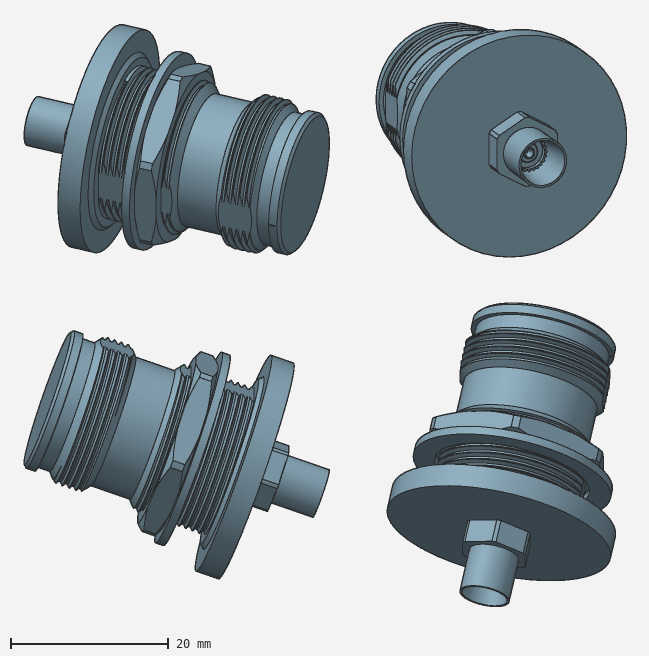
import cadquery as cq
import math


total_length = 36.8
hex_start = 5.78
flange_start = 8.75
flange_end = 11.78
gasket_end = 12.33
washer_start = 16.75
nut_start = 17.8
nut_end = 20.75
mount_thread_end = 22.75
mating_thread_start = 27.95
mating_thread_end = 33.5
ring_start = 35.3
ring_end = 36.15

flange_radius = 14.5
gasket_radius = 11.6
washer_radius = 12.8
washer_clearance = 0.07
body_radius = 8.65
ring_radius = 9.25
tip_chamfer = 0.35
ring_gap = 0.1

crest_radius = 9.97
root_radius = 9.45
thread_chamfer_length = 1.15
ten_turn_lead = 9.1
thread_pitch = ten_turn_lead / 10
root_flat = 0.275
crest_flat = 0.045
flat_distance = 9.25
mount_groove_start = 12.35
mating_groove_start = 27.12
groove_overrun = 0.05

cable_hex_width = 8.1
cable_hex_corner = 4.53
nut_width = 22.0
nut_corner = 12.45
nut_end_radius = 11.1
nut_chamfer_length = 0.65

tube_radius = 3.2
bore_mouth_radius = 2.95
bore_floor_radius = 2.43
bore_depth = hex_start
sleeve_length = 0.75
sleeve_bore_radius = 2.05
sleeve_root_radius = 2.2
sleeve_teeth = 24
insulator_radius = 1.32
insulator_length = 0.35
insulator_chamfer = 0.1
pin_radius = 0.75
pin_bore_radius = 0.55
pin_bore_depth = 0.65
pin_tip_radius = 0.05


def cylinder(start, end, radius):
    """Solid cylinder on the X axis."""
    return cq.Workplane("YZ").workplane(offset=start).circle(radius).extrude(end - start)


def turned(points):
    """Revolve (x, radius) points about the X axis, closed along the axis."""
    outline = [(points[0][0], 0)] + points + [(points[-1][0], 0)]
    return cq.Workplane("XY").polyline(outline).close().revolve(360, (0, 0, 0), (1, 0, 0))


def hexagon(start, end, width):
    """Hexagonal prism with flats facing +Y and -Y."""
    across_corners = width / math.cos(math.radians(30))
    flat_top = cq.Workplane("YZ").workplane(offset=start).polygon(6, across_corners).extrude(end - start)
    return flat_top.rotate((0, 0, 0), (1, 0, 0), 30)


def thread_groove(start, end):
    """Right-hand helical groove whose centre starts on the +Z side at x = start."""
    outer_radius = crest_radius + groove_overrun
    half_root = root_flat / 2
    half_crest = (thread_pitch - crest_flat) / 2
    helix = cq.Wire.makeHelix(thread_pitch, end - start, root_radius)
    groove = (
        cq.Workplane("XZ")
        .polyline([
            (root_radius, -half_root),
            (outer_radius, -half_crest),
            (outer_radius, half_crest),
            (root_radius, half_root),
        ])
        .close()
        .sweep(cq.Workplane(helix), isFrenet=True)
    )
    along_x = groove.rotate((0, 0, 0), (0, 1, 0), 90).rotate((0, 0, 0), (1, 0, 0), 180)
    return along_x.translate((start, 0, 0))


def threaded_section(blank_points, groove_start):
    """Thread cut in an over-long bar, then trimmed to its chamfered outline and to flats facing +Y and -Y."""
    spare_length = 2 * thread_pitch
    start = blank_points[0][0] - spare_length
    end = blank_points[-1][0] + spare_length
    groove = thread_groove(groove_start, end - thread_pitch)
    keeper = cq.Workplane("XY").box(2 * total_length, 2 * flat_distance, 2 * flange_radius)
    threaded_bar = cylinder(start, end, crest_radius).cut(groove)
    return threaded_bar.intersect(keeper).intersect(turned(blank_points))


def mount_thread():
    return threaded_section(
        [
            (flange_end, crest_radius),
            (mount_thread_end - thread_chamfer_length, crest_radius),
            (mount_thread_end, body_radius),
        ],
        mount_groove_start,
    )


def mating_thread():
    return threaded_section(
        [
            (mating_thread_start, body_radius),
            (mating_thread_start + thread_chamfer_length, crest_radius),
            (mating_thread_end - thread_chamfer_length, crest_radius),
            (mating_thread_end, body_radius),
        ],
        mating_groove_start,
    )


def flange_and_gasket():
    gasket_chamfer = gasket_end - flange_end
    gasket = turned([
        (flange_end, gasket_radius),
        (gasket_end, gasket_radius - gasket_chamfer),
    ])
    return cylinder(flange_start, flange_end, flange_radius).union(gasket)


def washer():
    """Flat washer with a round hole that clears the thread and bridges its flats."""
    hole = cylinder(washer_start, nut_start, crest_radius + washer_clearance)
    return cylinder(washer_start, nut_start, washer_radius).cut(hole)


def nut():
    chamfers = turned([
        (nut_start, nut_end_radius),
        (nut_start + nut_chamfer_length, nut_corner),
        (nut_end - nut_chamfer_length, nut_corner),
        (nut_end, nut_end_radius),
    ])
    return hexagon(nut_start, nut_end, nut_width).intersect(chamfers)


def mating_end():
    """Plain barrel with a split ring and a chamfered lip at the tip."""
    barrel = cylinder(flange_end, ring_start, body_radius)
    lip = turned([
        (ring_start, ring_radius),
        (total_length - tip_chamfer, ring_radius),
        (total_length, ring_radius - tip_chamfer),
    ])
    ring_depth = ring_radius - body_radius
    gap = (
        cq.Workplane("XY")
        .box(ring_end - ring_start, ring_depth, ring_gap)
        .translate(((ring_start + ring_end) / 2, -body_radius - ring_depth / 2, 0))
    )
    return barrel.union(lip).cut(gap)


def cable_entry():
    tube = cylinder(0, hex_start, tube_radius)
    bore = turned([(0, bore_mouth_radius), (bore_depth, bore_floor_radius)])
    hex_corners = cylinder(hex_start, flange_start, cable_hex_corner)
    cable_hex = hexagon(hex_start, flange_start, cable_hex_width).intersect(hex_corners)
    return tube.cut(bore).union(cable_hex)


def knurled_sleeve():
    """Toothed sleeve around the insulator at the bottom of the bore."""
    teeth = []
    for index in range(2 * sleeve_teeth):
        radius = bore_floor_radius if index % 2 == 0 else sleeve_root_radius
        angle = math.pi * index / sleeve_teeth
        teeth.append((radius * math.cos(angle), radius * math.sin(angle)))
    start = bore_depth - sleeve_length
    sleeve = cq.Workplane("YZ").workplane(offset=start).polyline(teeth).close().extrude(sleeve_length)
    return sleeve.cut(cylinder(start, bore_depth, sleeve_bore_radius))


def centre_contact():
    insulator_start = bore_depth - insulator_length
    insulator = turned([
        (insulator_start, insulator_radius - insulator_chamfer),
        (insulator_start + insulator_chamfer, insulator_radius),
        (bore_depth, insulator_radius),
    ])
    pin_start = bore_depth - sleeve_length
    pin = cylinder(pin_start, bore_depth, pin_radius)
    pin_bore = turned([(pin_start, pin_bore_radius), (pin_start + pin_bore_depth, pin_tip_radius)])
    return insulator.union(pin).cut(pin_bore)


smooth_parts = (
    mating_end()
    .union(flange_and_gasket())
    .union(cable_entry())
    .union(knurled_sleeve())
    .union(centre_contact())
)
mount_hardware = washer().union(nut())
result = smooth_parts.union(mating_thread()).union(mount_thread()).union(mount_hardware).solids()